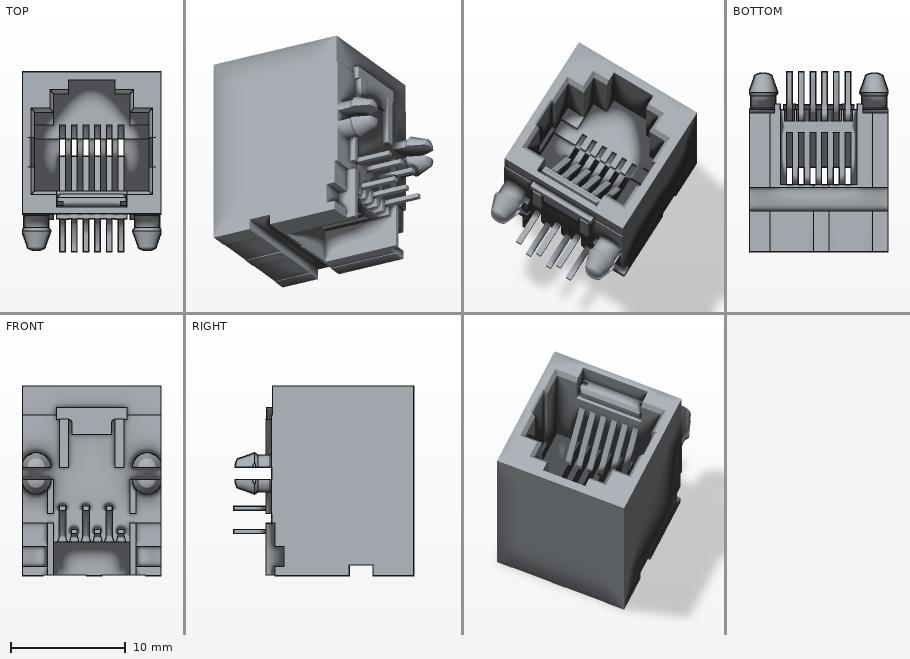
import cadquery as cq
import math


WIDTH = 12.1
HEIGHT = 16.55
BACK_Y = 12.4
HALF_WIDTH = WIDTH / 2
COLLAR_Z = 14.02
COLLAR_STEP = 0.06
EPS = 0.01

CAVITY_FRONT_Y = 2.0
MOUTH_CHAMFER_DEPTH = 0.45
MOUTH_CHAMFER_SIDE = 0.3
MOUTH_CHAMFER_BACK = 0.38
PLUG_HALF_WIDTH = 4.97
PLUG_BACK_Y = 8.84
SHOULDER_HALF_WIDTH = 3.35
SHOULDER_BACK_Y = 10.46
LATCH_HALF_WIDTH = 2.02
LATCH_BACK_Y = 11.67
LOW_FLOOR_Z = 6.6
HIGH_FLOOR_Z = 7.3
CORNER_LEDGE_Z = 8.0
FLOOR_STEP_Y = 6.53
LEDGE_FRONT_Y = 7.73

RELIEF_FRONT_Y = 4.08
RELIEF_BACK_Y = 6.66
RELIEF_DEPTH = 0.3
RELIEF_FLOOR_Z = 8.0
RELIEF_LIP_RADIUS = 0.3

CONTACT_COUNT = 6
CONTACT_PITCH = 1.02
PIN_WIDTH = 0.5
PIN_THICKNESS = 0.37
PIN_TIP_Y = -3.31
PIN_TOP_Z = (6.07, 4.03)
PIN_GROOVE_WIDTH = (0.59, 0.5)
PIN_GROOVE_DEPTH = 1.0
GROOVE_FLARE = 0.15
GROOVE_FLARE_HEIGHT = (0.3, 0.6)
WIRE_TOP_Z = 12.3
WIRE_END_Y = 5.03
WIRE_END_Z = 8.0
WIRE_THICKNESS = 0.5
WIRE_ROOT_Y = 1.5

BAR_HALF_WIDTH = 3.08
BAR_TOP_Z = 14.66
BAR_BOTTOM_Z = 13.6
BAR_FRONT_Y = -0.43
NOTCH_FRONT_Y = 0.59
NOTCH_GAP = 0.06
INSERT_BACK_Y = 1.73
INSERT_BEVEL = 0.3
TONGUE_HALF_WIDTH = 1.73
TONGUE_BOTTOM_Z = 12.32
TONGUE_CORNER_RADIUS = 0.25
POCKET_WIDTH = 0.5
POCKET_FRONT_Y = 0.74
POCKET_LENGTH = 0.35
POCKET_DEPTH = 0.35

RIB_FRONT_Y = -0.5
UPPER_RIB_INNER_X = 2.01
UPPER_RIB_OUTER_X = 2.79
UPPER_RIB_TOP_Z = 13.66
SIDE_RIB_INNER_X = 3.34
SIDE_RIB_OUTER_X = 3.85
SIDE_RIB_BOTTOM_Z = 5.42

PEG_X = 4.83
PEG_Z = 8.915
PEG_SLOT = 1.05
PEG_STEM_RADIUS = 1.1
PEG_LIP_RADIUS = 1.29
PEG_NOSE_RADIUS = 0.82
PEG_BASE_FLARE = 0.12
PEG_STEM_END_Y = -1.2
PEG_LIP_Y = -1.47
PEG_NOSE_Y = -2.77
PEG_TIP_Y = -3.2

BASE_Z = 0.06
CORNER_TOP_Z = 4.59
CORNER_FACE_Y = 0.29
CORNER_NOTCH_Y = 1.07
CORNER_NOTCH_BOTTOM_Z = 0.79
CORNER_NOTCH_TOP_Z = 2.55
UNDERCUT_TOP_Z = 2.96
CROSS_SLOT_FRONT_Y = 6.77
CROSS_SLOT_BACK_Y = 8.83
CROSS_SLOT_HEIGHT = 0.92
PAD_GAPS = ((-4.26, -0.47), (0.89, 4.68))

PEG_SLOT_TOP_Z = PEG_Z + PEG_SLOT / 2
PEG_SLOT_BOTTOM_Z = PEG_Z - PEG_SLOT / 2


def block(x0, x1, y0, y1, z0, z1):
    """Box between opposite corners."""
    return cq.Workplane("XY").box(x1 - x0, y1 - y0, z1 - z0, centered=False).translate((x0, y0, z0))


def centred_block(half_width, y0, y1, z0, z1):
    """Box symmetric about X = 0."""
    return block(-half_width, half_width, y0, y1, z0, z1)


def both_sides(solid):
    """The solid together with its mirror image in X."""
    return solid.union(solid.mirror("YZ"))


def mouth_flare(half_width, back_y):
    """Rectangular funnel widening from the cavity up to the top face."""
    depth = back_y - CAVITY_FRONT_Y
    outer_depth = depth + MOUTH_CHAMFER_SIDE + MOUTH_CHAMFER_BACK
    outer_shift = (MOUTH_CHAMFER_BACK - MOUTH_CHAMFER_SIDE) / 2
    return (
        cq.Workplane("XY", origin=(0, (CAVITY_FRONT_Y + back_y) / 2, HEIGHT - MOUTH_CHAMFER_DEPTH))
        .rect(2 * half_width, depth)
        .workplane(offset=MOUTH_CHAMFER_DEPTH)
        .center(0, outer_shift)
        .rect(2 * (half_width + MOUTH_CHAMFER_SIDE), outer_depth)
        .loft(ruled=True)
    )


def plug_cavity():
    """Stepped plug opening with its floor levels and mouth chamfers."""
    front = CAVITY_FRONT_Y
    cavity = centred_block(PLUG_HALF_WIDTH, front, FLOOR_STEP_Y, LOW_FLOOR_Z, HEIGHT)
    cavity = cavity.union(centred_block(PLUG_HALF_WIDTH, front, LEDGE_FRONT_Y, HIGH_FLOOR_Z, HEIGHT))
    cavity = cavity.union(centred_block(PLUG_HALF_WIDTH, front, PLUG_BACK_Y, CORNER_LEDGE_Z, HEIGHT))
    cavity = cavity.union(centred_block(SHOULDER_HALF_WIDTH, front, SHOULDER_BACK_Y, HIGH_FLOOR_Z, HEIGHT))
    cavity = cavity.union(centred_block(LATCH_HALF_WIDTH, front, LATCH_BACK_Y, HIGH_FLOOR_Z, HEIGHT))
    cavity = cavity.union(mouth_flare(PLUG_HALF_WIDTH, PLUG_BACK_Y))
    return cavity.union(mouth_flare(SHOULDER_HALF_WIDTH, SHOULDER_BACK_Y))


def side_reliefs():
    """Shallow grooves down both cavity side walls, rounded over at the mouth."""
    groove_x = PLUG_HALF_WIDTH + RELIEF_DEPTH
    lip_mid_offset = RELIEF_LIP_RADIUS * (1 - math.sqrt(0.5))
    groove = (
        cq.Workplane("XZ", origin=(0, RELIEF_BACK_Y, 0))
        .moveTo(0, RELIEF_FLOOR_Z)
        .lineTo(groove_x, RELIEF_FLOOR_Z)
        .lineTo(groove_x, HEIGHT - RELIEF_LIP_RADIUS)
        .threePointArc(
            (groove_x + lip_mid_offset, HEIGHT - lip_mid_offset),
            (groove_x + RELIEF_LIP_RADIUS, HEIGHT),
        )
        .lineTo(0, HEIGHT)
        .close()
        .extrude(RELIEF_BACK_Y - RELIEF_FRONT_Y)
    )
    return both_sides(groove)


def housing():
    """Outer shell with its cavity, lower corners and underside."""
    body = centred_block(HALF_WIDTH, 0, BACK_Y, 0, HEIGHT)
    body = body.cut(centred_block(HALF_WIDTH, 0, COLLAR_STEP, COLLAR_Z, HEIGHT))
    body = body.cut(plug_cavity()).cut(side_reliefs())

    corner = block(SIDE_RIB_OUTER_X, HALF_WIDTH, 0, CORNER_FACE_Y, 0, CORNER_TOP_Z)
    corner = corner.union(
        block(SIDE_RIB_OUTER_X, HALF_WIDTH, 0, CORNER_NOTCH_Y, CORNER_NOTCH_BOTTOM_Z, CORNER_NOTCH_TOP_Z)
    )
    body = body.cut(both_sides(corner))

    body = body.cut(centred_block(SIDE_RIB_INNER_X, 0, FLOOR_STEP_Y, 0, UNDERCUT_TOP_Z))
    body = body.cut(
        centred_block(HALF_WIDTH, CROSS_SLOT_FRONT_Y, CROSS_SLOT_BACK_Y, 0, CROSS_SLOT_HEIGHT)
    )
    for left, right in PAD_GAPS:
        body = body.cut(block(left, right, 0, BACK_Y, 0, BASE_Z))
    return body


def board_side_ribs():
    """Three pairs of standoff ribs on the board-side face."""
    upper = block(
        UPPER_RIB_INNER_X, UPPER_RIB_OUTER_X, RIB_FRONT_Y, EPS, PEG_SLOT_TOP_Z, UPPER_RIB_TOP_Z
    )
    middle = block(
        SIDE_RIB_INNER_X, SIDE_RIB_OUTER_X, RIB_FRONT_Y, EPS, SIDE_RIB_BOTTOM_Z, PEG_SLOT_BOTTOM_Z
    )
    lower = block(SIDE_RIB_INNER_X, SIDE_RIB_OUTER_X, RIB_FRONT_Y, EPS, BASE_Z, CORNER_TOP_Z)
    return both_sides(upper.union(middle).union(lower))


def pegs():
    """Two split snap-in pegs, trimmed flush with the housing sides."""
    nose_mid_radius = PEG_NOSE_RADIUS * math.sqrt(0.5)
    nose_mid_y = PEG_NOSE_Y + (PEG_TIP_Y - PEG_NOSE_Y) * math.sqrt(0.5)
    turned = (
        cq.Workplane("XY")
        .moveTo(0, EPS)
        .lineTo(PEG_STEM_RADIUS + PEG_BASE_FLARE, EPS)
        .lineTo(PEG_STEM_RADIUS + PEG_BASE_FLARE, 0)
        .lineTo(PEG_STEM_RADIUS, -PEG_BASE_FLARE)
        .lineTo(PEG_STEM_RADIUS, PEG_STEM_END_Y)
        .lineTo(PEG_LIP_RADIUS, PEG_LIP_Y)
        .lineTo(PEG_NOSE_RADIUS, PEG_NOSE_Y)
        .spline(
            [(nose_mid_radius, nose_mid_y), (0, PEG_TIP_Y)],
            tangents=[(0, -1), (-1, 0)],
            includeCurrent=True,
        )
        .close()
        .revolve(360, (0, 0, 0), (0, 1, 0))
    )
    reach = PEG_LIP_RADIUS
    upper_half = turned.intersect(centred_block(reach, PEG_TIP_Y, EPS, 0, reach))
    lower_half = upper_half.mirror("XY")
    peg = upper_half.translate((PEG_X, 0, PEG_SLOT_TOP_Z))
    peg = peg.union(lower_half.translate((PEG_X, 0, PEG_SLOT_BOTTOM_Z)))
    peg = peg.intersect(block(0, HALF_WIDTH, PEG_TIP_Y, EPS, 0, HEIGHT))
    return both_sides(peg)


def insert_notch():
    """Notch in the front wall that receives the contact holder."""
    return centred_block(BAR_HALF_WIDTH, NOTCH_FRONT_Y, CAVITY_FRONT_Y, BAR_BOTTOM_Z, HEIGHT)


def contact_insert():
    """Holder bar through the front wall, with a tongue below and a bevelled inner block."""
    bar = centred_block(BAR_HALF_WIDTH, BAR_FRONT_Y, NOTCH_FRONT_Y, BAR_BOTTOM_Z, BAR_TOP_Z)
    tongue = centred_block(TONGUE_HALF_WIDTH, BAR_FRONT_Y, EPS, TONGUE_BOTTOM_Z, BAR_BOTTOM_Z)
    bar = bar.union(tongue)
    inside_corners = cq.selectors.BoxSelector(
        (-TONGUE_HALF_WIDTH - EPS, BAR_FRONT_Y, BAR_BOTTOM_Z - EPS),
        (TONGUE_HALF_WIDTH + EPS, EPS, BAR_BOTTOM_Z + EPS),
    )
    bar = bar.edges("|Y").edges(inside_corners).fillet(TONGUE_CORNER_RADIUS)
    inner_half_width = BAR_HALF_WIDTH - NOTCH_GAP
    inner = centred_block(
        inner_half_width, NOTCH_FRONT_Y, INSERT_BACK_Y, BAR_BOTTOM_Z, BAR_TOP_Z
    )
    inner = inner.faces(">Y").edges(">Z or |Z").chamfer(INSERT_BEVEL)
    pocket = block(
        inner_half_width - POCKET_WIDTH,
        inner_half_width,
        POCKET_FRONT_Y,
        POCKET_FRONT_Y + POCKET_LENGTH,
        BAR_TOP_Z - POCKET_DEPTH,
        BAR_TOP_Z,
    )
    inner = inner.cut(both_sides(pocket))
    return bar.union(inner)


def pin_groove(x, row):
    """Vertical groove in the front wall below a pin, flaring into the undercut."""
    half = PIN_GROOVE_WIDTH[row] / 2
    flare_z = UNDERCUT_TOP_Z + GROOVE_FLARE_HEIGHT[row]
    outline = [
        (x - half, PIN_TOP_Z[row]),
        (x + half, PIN_TOP_Z[row]),
        (x + half, flare_z),
        (x + half + GROOVE_FLARE, UNDERCUT_TOP_Z),
        (x - half - GROOVE_FLARE, UNDERCUT_TOP_Z),
        (x - half, flare_z),
    ]
    return cq.Workplane("XZ").polyline(outline).close().extrude(-PIN_GROOVE_DEPTH)


def floor_slot(x):
    """Slot through the cavity floor, running on as a groove in the high floor."""
    left = x - PIN_WIDTH / 2
    right = x + PIN_WIDTH / 2
    through = block(left, right, CAVITY_FRONT_Y, FLOOR_STEP_Y, UNDERCUT_TOP_Z, LOW_FLOOR_Z)
    return through.union(block(left, right, CAVITY_FRONT_Y, LEDGE_FRONT_Y, LOW_FLOOR_Z, HIGH_FLOOR_Z))


def contact(x, row):
    """Board pin and the spring wire slanting down into the cavity."""
    pin_top = PIN_TOP_Z[row]
    pin = block(
        x - PIN_WIDTH / 2,
        x + PIN_WIDTH / 2,
        PIN_TIP_Y,
        PIN_GROOVE_DEPTH + EPS,
        pin_top - PIN_THICKNESS,
        pin_top,
    )
    slope = (WIRE_TOP_Z - WIRE_END_Z) / (WIRE_END_Y - CAVITY_FRONT_Y)
    root_z = WIRE_TOP_Z + slope * (CAVITY_FRONT_Y - WIRE_ROOT_Y)
    outline = [
        (WIRE_ROOT_Y, root_z),
        (WIRE_END_Y, WIRE_END_Z),
        (WIRE_END_Y, WIRE_END_Z - WIRE_THICKNESS),
        (WIRE_ROOT_Y, root_z - WIRE_THICKNESS),
    ]
    wire = cq.Workplane("YZ", origin=(x, 0, 0)).polyline(outline).close()
    wire = wire.extrude(PIN_WIDTH / 2, both=True)
    return pin.union(wire)


result = housing().cut(insert_notch())
contact_sites = [
    ((index - (CONTACT_COUNT - 1) / 2) * CONTACT_PITCH, index % 2) for index in range(CONTACT_COUNT)
]
for contact_x, contact_row in contact_sites:
    result = result.cut(pin_groove(contact_x, contact_row)).cut(floor_slot(contact_x))
for contact_x, contact_row in contact_sites:
    result = result.union(contact(contact_x, contact_row))
result = result.union(board_side_ribs()).union(contact_insert()).union(pegs())